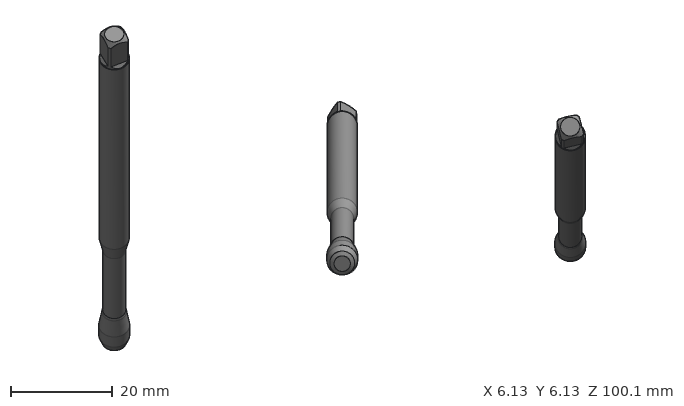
import cadquery as cq

total_length = 100.1

shank_diameter = 6.0
neck_diameter = 4.55
shank_top_z = 92.4
shank_taper_start_z = 34.1
shank_taper_end_z = 30.1

square_width = 4.5
square_corner_diameter = 5.76
square_end_diameter = 3.8
square_runout_height = 0.75

head_diameter = 6.13
head_top_z = 10.65
head_shoulder_diameter = 4.85
head_shoulder_z = 10.1
head_cylinder_top_z = 5.7
head_cylinder_bottom_z = 2.4
lead_cone_end_diameter = 4.9
tip_chamfer_height = 0.45
tip_flat_diameter = 3.2


def make_shank():
    """Revolved shank: neck, taper, full-diameter grip and the blank for the drive square."""
    corner_radius = square_corner_diameter / 2
    end_radius = square_end_diameter / 2
    end_chamfer_height = corner_radius - end_radius
    return (
        cq.Workplane("XZ")
        .moveTo(0, head_top_z)
        .lineTo(neck_diameter / 2, head_top_z)
        .lineTo(neck_diameter / 2, shank_taper_end_z)
        .lineTo(shank_diameter / 2, shank_taper_start_z)
        .lineTo(shank_diameter / 2, shank_top_z)
        .lineTo(corner_radius, shank_top_z)
        .lineTo(corner_radius, total_length - end_chamfer_height)
        .lineTo(end_radius, total_length)
        .lineTo(0, total_length)
        .close()
        .revolve(360, (0, 0, 0), (0, 1, 0))
    )


def make_flat_cutter():
    """Prism that leaves one flat of the drive square, with a sloped runout at its foot."""
    flat_distance = square_width / 2
    outside = shank_diameter
    runout_outer = flat_distance + square_runout_height
    return (
        cq.Workplane("XZ")
        .moveTo(flat_distance, total_length)
        .lineTo(flat_distance, shank_top_z + square_runout_height)
        .lineTo(runout_outer, shank_top_z)
        .lineTo(outside, shank_top_z)
        .lineTo(outside, total_length)
        .close()
        .extrude(shank_diameter / 2, both=True)
    )


def make_head():
    """Revolved head: top chamfer, cone, cylinder, lead cone and a chamfered flat tip."""
    head_radius = head_diameter / 2
    return (
        cq.Workplane("XZ")
        .moveTo(0, head_top_z)
        .lineTo(neck_diameter / 2, head_top_z)
        .lineTo(head_shoulder_diameter / 2, head_shoulder_z)
        .lineTo(head_radius, head_cylinder_top_z)
        .lineTo(head_radius, head_cylinder_bottom_z)
        .lineTo(lead_cone_end_diameter / 2, tip_chamfer_height)
        .lineTo(tip_flat_diameter / 2, 0)
        .lineTo(0, 0)
        .close()
        .revolve(360, (0, 0, 0), (0, 1, 0))
    )


shank = make_shank()
flat_cutter = make_flat_cutter()
for flat_angle in (0, 90, 180, 270):
    shank = shank.cut(flat_cutter.rotate((0, 0, 0), (0, 0, 1), flat_angle))

head = make_head()

result = cq.Compound.makeCompound([shank.val(), head.val()])